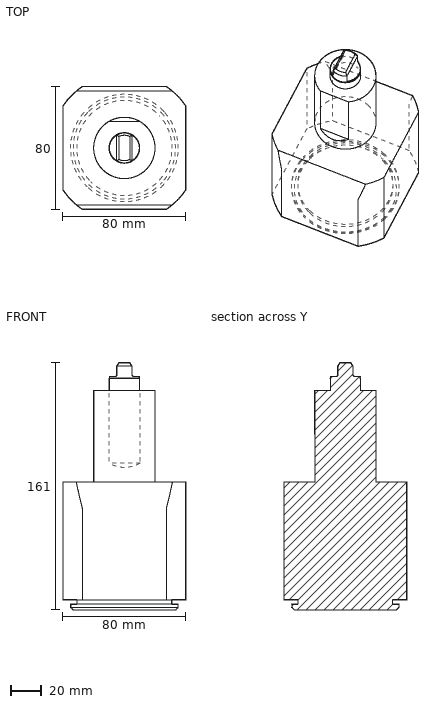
import cadquery as cq
import math

total_height = 161.0
flange_bevel_top = 1.8
flange_top = 3.9
body_bottom = 6.8
body_top = 83.4
shank_top = 143.0
collar_taper_bottom = 150.7
collar_taper_top = 151.0
collar_top = 152.1

flange_radius = 70.0 / 2
groove_radius = 62.0 / 2
shank_radius = 40.0 / 2
neck_radius = 20.0 / 2
collar_radius = 19.5 / 2
flange_bevel_width = 1.8

body_width = 80.0
body_corner_radius = 48.5
taper_height = 17.0
taper_angle = 10.0

flat_distance = 17.2
flat_bottom = 95.6

tang_width = 10.0
tang_foot_radius = 1.0
tang_bevel_width = 1.5
tang_bevel_height = 2.3


def cylinder(radius, bottom, top):
    return cq.Workplane("XY").workplane(offset=bottom).circle(radius).extrude(top - bottom)


def make_flange():
    """Locating flange with a bevelled lower rim, and the groove above it."""
    profile = [
        (0, 0),
        (flange_radius - flange_bevel_width, 0),
        (flange_radius, flange_bevel_top),
        (flange_radius, flange_top),
        (groove_radius, flange_top),
        (groove_radius, body_bottom),
        (0, body_bottom),
    ]
    return cq.Workplane("XZ").polyline(profile).close().revolve(360, (0, 0), (0, 1))


def make_body():
    """Square block turned at its corners, with its +Y and -Y faces leaning in at the top."""
    half = body_width / 2
    taper_depth = taper_height * math.tan(math.radians(taper_angle))
    side_profile = [
        (-half, body_bottom),
        (half, body_bottom),
        (half, body_top - taper_height),
        (half - taper_depth, body_top),
        (-half + taper_depth, body_top),
        (-half, body_top - taper_height),
    ]
    block = cq.Workplane("YZ").polyline(side_profile).close().extrude(half, both=True)
    return block.intersect(cylinder(body_corner_radius, body_bottom, body_top))


def make_shank():
    """Round shank with a flat that runs out to the surface at 45 degrees."""
    runout = shank_radius - flat_distance
    flat_profile = [
        (flat_distance, flat_bottom),
        (flat_distance, shank_top),
        (shank_radius, shank_top),
        (shank_radius, flat_bottom - runout),
    ]
    flat = cq.Workplane("YZ").polyline(flat_profile).close().extrude(shank_radius, both=True)
    return cylinder(shank_radius, body_top, shank_top).cut(flat)


def make_drive_end():
    """Stepped round neck with two sides cut away to leave a flat drive tang."""
    top_radius = collar_radius - tang_bevel_width
    round_profile = [
        (0, shank_top),
        (neck_radius, shank_top),
        (neck_radius, collar_taper_bottom),
        (collar_radius, collar_taper_top),
        (collar_radius, total_height - tang_bevel_height),
        (top_radius, total_height),
        (0, total_height),
    ]
    blank = cq.Workplane("XZ").polyline(round_profile).close().revolve(360, (0, 0), (0, 1))

    half = tang_width / 2
    foot_edge = half + tang_foot_radius
    foot_top = collar_top + tang_foot_radius
    foot_inset = tang_foot_radius * (1 - math.sqrt(0.5))
    side_cut = (
        cq.Workplane("XZ")
        .moveTo(foot_edge, collar_top)
        .threePointArc((half + foot_inset, collar_top + foot_inset), (half, foot_top))
        .lineTo(half, total_height - tang_bevel_height)
        .lineTo(half - tang_bevel_width, total_height)
        .lineTo(neck_radius, total_height)
        .lineTo(neck_radius, collar_top)
        .close()
        .extrude(neck_radius, both=True)
    )
    return blank.cut(side_cut).cut(side_cut.mirror("YZ"))


result = make_flange().union(make_body()).union(make_shank()).union(make_drive_end())